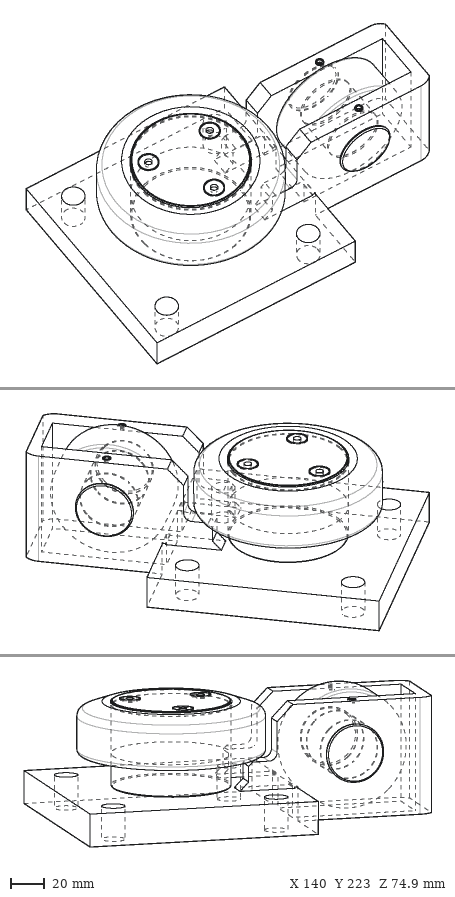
import cadquery as cq
import math


TOTAL_LENGTH = 223.0

PLATE_SIDE = 140.0
PLATE_THICKNESS = 19.8
PLATE_HOLE_DIAMETER = 13.8
PLATE_HOLE_SPACING = 100.0

STUB_DIAMETER = 71.0
STUB_CHAMFER = 0.7

CAP_DIAMETER = 70.0
CAP_CHAMFER = 0.33
CAP_BOTTOM_Z = 68.5
CAP_TOP_Z = 71.4

CAP_SCREW_COUNT = 3
CAP_SCREW_CIRCLE_RADIUS = 25.0
CAP_SCREW_HEAD_DIAMETER = 11.5
CAP_SCREW_SEAT_DIAMETER = 12.5
CAP_SCREW_SOCKET_DIAMETER = 4.5
CAP_SCREW_SOCKET_DEPTH = 2.2
CAP_SCREW_GAP_DEPTH = 0.7

FORK_WIDTH = 54.5
FORK_TOP_Z = 70.2
FORK_REAR_Y = TOTAL_LENGTH - PLATE_SIDE / 2
FORK_SLOT_WIDTH = 30.3
FORK_REAR_WALL = 7.5
FORK_CORNER_RADIUS = 11.0
FORK_CORNER_LENGTH = 8.3
FORK_FRONT_Y = 57.0
FORK_FRONT_CHAMFER = 9.8
FORK_TOE_Z = 37.0
FORK_TOE_Y = 39.7
FORK_TOE_TOP_CHAMFER = 2.5
FORK_TOE_BOTTOM_CHAMFER = 5.4
FORK_INNER_RADIUS = 5.0
RELIEF_LENGTH = 2.0
RELIEF_HEIGHT = 0.7

AXLE_Y = 104.8
AXLE_Z = 39.0
AXLE_DIAMETER = 35.0
AXLE_LENGTH = 57.5
AXLE_CHAMFER = 1.0

SET_SCREW_X = 21.0
SET_SCREW_HOLE_DIAMETER = 5.0
SET_SCREW_DIAMETER = 4.5
SET_SCREW_SOCKET_DIAMETER = 3.0
SET_SCREW_RECESS = 0.7
SET_SCREW_SOCKET_DEPTH = 2.2

ROLLER_DIAMETER = 111.5
ROLLER_EDGE_DIAMETER = 111.3
ROLLER_BOTTOM_Z = 39.5
ROLLER_TOP_Z = 70.7
ROLLER_TOP_FLAT_DIAMETER = 81.6
ROLLER_CONE_DIAMETER = 112.8
ROLLER_CONE_DROP = 5.5
ROLLER_TOP_FILLET = 5.0
ROLLER_BOTTOM_FILLET = 2.7
ROLLER_MOUTH_DIAMETER = 71.5

SIDE_ROLLER_DIAMETER = 71.8
SIDE_ROLLER_EDGE_DIAMETER = 71.4
SIDE_ROLLER_WIDTH = 28.0
SIDE_ROLLER_FILLET = 1.5


def cylinder(diameter, bottom_z, top_z):
    return cq.Workplane("XY").workplane(offset=bottom_z).circle(diameter / 2).extrude(top_z - bottom_z)


def ring(outer_diameter, inner_diameter, bottom_z, top_z):
    return cylinder(outer_diameter, bottom_z, top_z).cut(cylinder(inner_diameter, bottom_z, top_z))


def make_plate():
    plate = cq.Workplane("XY").box(PLATE_SIDE, PLATE_SIDE, PLATE_THICKNESS, centered=(True, True, False))
    return (
        plate.faces(">Z").workplane()
        .rect(PLATE_HOLE_SPACING, PLATE_HOLE_SPACING, forConstruction=True)
        .vertices().hole(PLATE_HOLE_DIAMETER)
    )


def make_stub():
    """Round stub on the plate, topped by a cap held with screws."""
    stub = cylinder(STUB_DIAMETER, PLATE_THICKNESS, CAP_BOTTOM_Z)
    stub = stub.faces("<Z").edges().chamfer(STUB_CHAMFER)
    cap = cylinder(CAP_DIAMETER, CAP_BOTTOM_Z, CAP_TOP_Z)
    cap = cap.faces(">Z").edges().chamfer(CAP_CHAMFER)
    stub = stub.union(cap)

    screw_marks = ring(
        CAP_SCREW_SEAT_DIAMETER, CAP_SCREW_HEAD_DIAMETER, CAP_TOP_Z - CAP_SCREW_GAP_DEPTH, CAP_TOP_Z
    ).union(cylinder(CAP_SCREW_SOCKET_DIAMETER, CAP_TOP_Z - CAP_SCREW_SOCKET_DEPTH, CAP_TOP_Z))
    for index in range(CAP_SCREW_COUNT):
        angle = index * 2 * math.pi / CAP_SCREW_COUNT
        place = (CAP_SCREW_CIRCLE_RADIUS * math.cos(angle), CAP_SCREW_CIRCLE_RADIUS * math.sin(angle), 0)
        stub = stub.cut(screw_marks.translate(place))
    return stub


def make_fork_side():
    """Side outline of the fork, extruded over its full width."""
    plate_edge_y = PLATE_SIDE / 2
    outline = [
        (FORK_REAR_Y, 0),
        (FORK_REAR_Y, FORK_TOP_Z),
        (FORK_FRONT_Y + FORK_FRONT_CHAMFER, FORK_TOP_Z),
        (FORK_FRONT_Y, FORK_TOP_Z - FORK_FRONT_CHAMFER),
        (FORK_FRONT_Y, FORK_TOE_Z + FORK_INNER_RADIUS),
    ]
    inner_arc_middle = (
        FORK_FRONT_Y - FORK_INNER_RADIUS * (1 - math.sqrt(0.5)),
        FORK_TOE_Z + FORK_INNER_RADIUS * (1 - math.sqrt(0.5)),
    )
    return (
        cq.Workplane("YZ").workplane(offset=-FORK_WIDTH / 2)
        .polyline(outline)
        .threePointArc(inner_arc_middle, (FORK_FRONT_Y - FORK_INNER_RADIUS, FORK_TOE_Z))
        .lineTo(FORK_TOE_Y + FORK_TOE_TOP_CHAMFER, FORK_TOE_Z)
        .lineTo(FORK_TOE_Y, FORK_TOE_Z - FORK_TOE_TOP_CHAMFER)
        .lineTo(FORK_TOE_Y, PLATE_THICKNESS + FORK_TOE_BOTTOM_CHAMFER)
        .lineTo(FORK_TOE_Y - FORK_TOE_BOTTOM_CHAMFER, PLATE_THICKNESS)
        .lineTo(plate_edge_y - RELIEF_LENGTH, PLATE_THICKNESS)
        .lineTo(plate_edge_y - RELIEF_LENGTH, PLATE_THICKNESS + RELIEF_HEIGHT)
        .lineTo(plate_edge_y, PLATE_THICKNESS + RELIEF_HEIGHT)
        .lineTo(plate_edge_y, 0)
        .close()
        .extrude(FORK_WIDTH)
    )


def make_fork_plan():
    """Plan outline of the fork: two legs, a rear wall and rounded rear corners."""
    half_width = FORK_WIDTH / 2
    half_slot = FORK_SLOT_WIDTH / 2
    arc_centre_x = half_width - FORK_CORNER_RADIUS
    arc_start_y = FORK_REAR_Y - FORK_CORNER_LENGTH
    end_angle = math.asin(FORK_CORNER_LENGTH / FORK_CORNER_RADIUS)

    def corner_point(angle, side):
        x = arc_centre_x + FORK_CORNER_RADIUS * math.cos(angle)
        return (side * x, arc_start_y + FORK_CORNER_RADIUS * math.sin(angle))

    return (
        cq.Workplane("XY")
        .moveTo(half_slot, 0)
        .lineTo(half_width, 0)
        .lineTo(half_width, arc_start_y)
        .threePointArc(corner_point(end_angle / 2, 1), corner_point(end_angle, 1))
        .lineTo(*corner_point(end_angle, -1))
        .threePointArc(corner_point(end_angle / 2, -1), (-half_width, arc_start_y))
        .lineTo(-half_width, 0)
        .lineTo(-half_slot, 0)
        .lineTo(-half_slot, FORK_REAR_Y - FORK_REAR_WALL)
        .lineTo(half_slot, FORK_REAR_Y - FORK_REAR_WALL)
        .close()
        .extrude(FORK_TOP_Z)
    )


def make_fork():
    """Fork with the two set screws that lock the axle in its legs."""
    fork = make_fork_side().intersect(make_fork_plan())
    screw_marks = ring(
        SET_SCREW_HOLE_DIAMETER, SET_SCREW_DIAMETER, FORK_TOP_Z - SET_SCREW_RECESS, FORK_TOP_Z
    ).union(cylinder(SET_SCREW_SOCKET_DIAMETER, FORK_TOP_Z - SET_SCREW_SOCKET_DEPTH, FORK_TOP_Z))
    for x in (-SET_SCREW_X, SET_SCREW_X):
        fork = fork.cut(screw_marks.translate((x, AXLE_Y, 0)))
    return fork


def make_axle():
    axle = cq.Workplane("YZ").circle(AXLE_DIAMETER / 2).extrude(AXLE_LENGTH / 2, both=True)
    axle = axle.faces("<X or >X").edges().chamfer(AXLE_CHAMFER)
    return axle.translate((0, AXLE_Y, AXLE_Z))


def make_frame():
    return make_plate().union(make_stub()).union(make_fork()).union(make_axle())


def make_main_roller():
    """Roller with a crowned rim, a rounded shoulder, a conical top and a bore for the stub."""
    edge_radius = ROLLER_EDGE_DIAMETER / 2
    flat_radius = ROLLER_TOP_FLAT_DIAMETER / 2
    slope = ROLLER_CONE_DROP / (ROLLER_CONE_DIAMETER / 2 - flat_radius)
    slope_angle = math.atan(slope)
    arc_centre_r = edge_radius - ROLLER_TOP_FILLET
    arc_end_r = arc_centre_r + ROLLER_TOP_FILLET * math.sin(slope_angle)
    arc_end_z = ROLLER_TOP_Z - slope * (arc_end_r - flat_radius)
    arc_centre_z = arc_end_z - ROLLER_TOP_FILLET * math.cos(slope_angle)
    middle_angle = (math.pi / 2 - slope_angle) / 2
    arc_middle = (
        arc_centre_r + ROLLER_TOP_FILLET * math.cos(middle_angle),
        arc_centre_z + ROLLER_TOP_FILLET * math.sin(middle_angle),
    )
    crown_middle = (ROLLER_DIAMETER / 2, (ROLLER_BOTTOM_Z + arc_centre_z) / 2)
    roller = (
        cq.Workplane("XZ")
        .moveTo(0, ROLLER_BOTTOM_Z)
        .lineTo(edge_radius, ROLLER_BOTTOM_Z)
        .threePointArc(crown_middle, (edge_radius, arc_centre_z))
        .threePointArc(arc_middle, (arc_end_r, arc_end_z))
        .lineTo(flat_radius, ROLLER_TOP_Z)
        .lineTo(0, ROLLER_TOP_Z)
        .close()
        .revolve(360, (0, 0), (0, 1))
    )
    roller = roller.faces("<Z").edges().fillet(ROLLER_BOTTOM_FILLET)
    bore = cylinder(STUB_DIAMETER, ROLLER_BOTTOM_Z, CAP_BOTTOM_Z)
    mouth = cylinder(ROLLER_MOUTH_DIAMETER, CAP_BOTTOM_Z, ROLLER_TOP_Z)
    return roller.cut(bore).cut(mouth)


def make_side_roller():
    """Slightly crowned roller, bored for the axle."""
    half_width = SIDE_ROLLER_WIDTH / 2
    edge_radius = SIDE_ROLLER_EDGE_DIAMETER / 2
    roller = (
        cq.Workplane("XY")
        .moveTo(-half_width, 0)
        .lineTo(-half_width, edge_radius)
        .threePointArc((0, SIDE_ROLLER_DIAMETER / 2), (half_width, edge_radius))
        .lineTo(half_width, 0)
        .close()
        .revolve(360, (0, 0), (1, 0))
    )
    roller = roller.faces("<X or >X").edges().fillet(SIDE_ROLLER_FILLET)
    return roller.translate((0, AXLE_Y, AXLE_Z)).cut(make_axle())


frame = make_frame().solids()
main_roller = make_main_roller().solids()
side_roller = make_side_roller().solids()

result = cq.Compound.makeCompound([frame.val(), main_roller.val(), side_roller.val()])